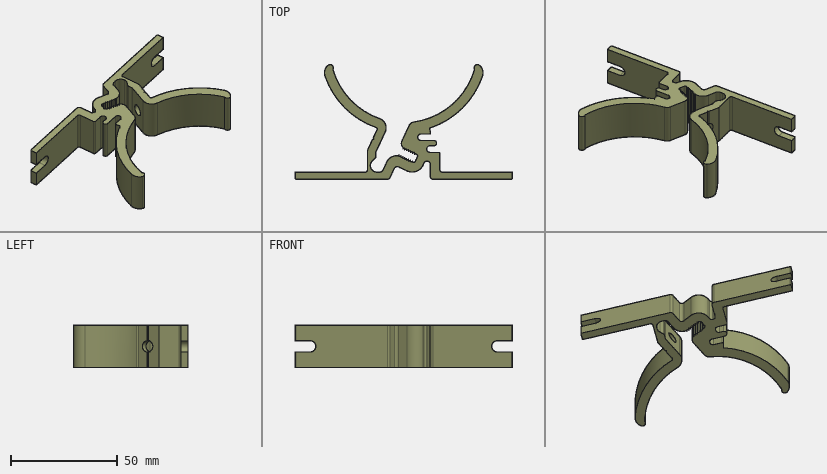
import cadquery as cq
import math


width = 20.0
base_length = 102.0
base_thickness = 3.4
total_height = 53.97

ring_centre = (0.0, 61.25)
ring_inner_radius = 34.6
arm_thickness = 4.6
ring_outer_radius = ring_inner_radius + arm_thickness
tip_angle = -19.0
nub_radius = 1.5

screw_tilt = 25.0
axis_height = 12.27
screw_hole_diameter = 5.4

lever_outer_face = -16.07
lever_inner_face = -12.07
hump_face = -5.52
jaw_face = -3.25
foot_face = -0.96
socket_end = 6.5
bulge_face = 10.65

socket_half_width = 2.0
neck_underside = -6.94

tooth_pitch = 1.0
tooth_height = 0.38
lower_teeth_start = -1.75
upper_teeth_start = lower_teeth_start + tooth_pitch / 2
lower_valley_count = 7
upper_valley_count = 6

left_post_outer_x = -17.1
left_post_inner_x = -13.1
pocket_radius = 3.0
pocket_left_x = -15.65
pocket_shoulder_y = 7.7

right_post_inner_x = 12.4
right_post_outer_x = 17.0
right_post_top = 12.7
slot_height = 3.0
tongue_thickness = 2.55
tongue_tip_x = 15.5
lower_slot_end_x = 10.85
upper_slot_end_x = 6.6
lip_x = 12.75
lip_top_x = 12.2
notch_top = 8.4

foot_corner_radius = 1.0
foot_end_radius = 0.4
small_radius = 0.5
heel_radius = 1.4
neck_radius = 1.5
bulge_radius = 5.7
notch_radius = 1.2
jaw_nose_radius = 2.8
socket_radius = 0.8
hump_radius = 5.1
hump_root_radius = 1.8
post_shoulder_radius = 1.0
post_top_radius = 0.7
lever_root_outer_radius = 0.6
lever_root_inner_radius = 4.6
jaw_root_radius = 3.0

foot_slot_width = 5.2
foot_slot_depth = 9.6
groove_depth = 0.5
groove_width = 0.8

tilt = math.radians(screw_tilt)
half_length = base_length / 2
mid_width = width / 2


def axis_point(along, across):
    """Point given by its place along and across the screw axis."""
    x = along * math.cos(tilt) + across * math.sin(tilt)
    y = axis_height - along * math.sin(tilt) + across * math.cos(tilt)
    return (x, y)


def face_at_y(along, y):
    """Point at height y on a face square to the screw axis."""
    across = (y - axis_height + along * math.sin(tilt)) / math.cos(tilt)
    return axis_point(along, across)


def face_at_x(along, x):
    """Point at position x on a face square to the screw axis."""
    across = (x - along * math.cos(tilt)) / math.sin(tilt)
    return axis_point(along, across)


def face_at_ring(along, radius):
    """Lower crossing of a face square to the screw axis with a ring circle."""
    dx = ring_centre[0]
    dy = ring_centre[1] - axis_height
    centre_along = dx * math.cos(tilt) - dy * math.sin(tilt)
    centre_across = dx * math.sin(tilt) + dy * math.cos(tilt)
    drop = math.sqrt(radius**2 - (along - centre_along) ** 2)
    return axis_point(along, centre_across - drop)


def polar(centre, radius, angle):
    """Point at a radius and angle (radians) from a centre."""
    return (centre[0] + radius * math.cos(angle), centre[1] + radius * math.sin(angle))


def direction(start, end):
    """Angle (radians) of the line from start to end."""
    return math.atan2(end[1] - start[1], end[0] - start[0])


def rounded_outline(corners):
    """Closed outline through (point, radius) corners, each rounded by a tangent arc."""
    runs = []
    for i, (point, radius) in enumerate(corners):
        if radius == 0:
            runs.append([point])
            continue
        to_last = direction(point, corners[i - 1][0])
        to_next = direction(point, corners[(i + 1) % len(corners)][0])
        half_turn = (to_next - to_last) / 2
        setback = radius / abs(math.tan(half_turn))
        bisector = math.atan2(math.sin(to_last) + math.sin(to_next), math.cos(to_last) + math.cos(to_next))
        to_arc = radius / abs(math.sin(half_turn)) - radius
        runs.append([
            polar(point, setback, to_last),
            polar(point, to_arc, bisector),
            polar(point, setback, to_next),
        ])
    outline = cq.Workplane("XY").moveTo(*runs[0][-1])
    for run in runs[1:] + runs[:1]:
        outline = outline.lineTo(*run[0])
        if len(run) > 1:
            outline = outline.threePointArc(run[1], run[2])
    return outline.close()


lever_root_inner = face_at_ring(lever_inner_face, ring_inner_radius)
lever_root_outer = face_at_ring(lever_outer_face, ring_outer_radius)
jaw_root = face_at_ring(jaw_face, ring_inner_radius)
lip_root = (lip_top_x, ring_centre[1] - math.sqrt(ring_outer_radius**2 - lip_top_x**2))


def body():
    """Feet, posts, hinge, screw socket and lever as one extruded outline."""
    tongue_bottom = right_post_top + slot_height
    tongue_top = tongue_bottom + tongue_thickness
    lip_bottom = tongue_top + slot_height
    end_flat = 0.02
    slot_corner = slot_height / 2 - end_flat / 2
    tongue_corner = tongue_thickness / 2 - end_flat / 2
    shoulder_y = pocket_shoulder_y + left_post_inner_x - pocket_left_x

    right_foot = [
        (face_at_y(foot_face, 0), heel_radius),
        (axis_point(foot_face, neck_underside), neck_radius),
        (axis_point(bulge_face, neck_underside), bulge_radius),
        (face_at_y(bulge_face, notch_top), notch_radius),
        ((right_post_inner_x, notch_top), notch_radius),
        ((right_post_inner_x, 0), heel_radius),
        ((half_length, 0), foot_end_radius),
        ((half_length, base_thickness), 0),
        ((right_post_outer_x, base_thickness), foot_corner_radius),
        ((right_post_outer_x, right_post_top), post_top_radius),
    ]
    cable_slots = [
        ((lower_slot_end_x, right_post_top), slot_corner),
        ((lower_slot_end_x, tongue_bottom), slot_corner),
        ((tongue_tip_x, tongue_bottom), tongue_corner),
        ((tongue_tip_x, tongue_top), tongue_corner),
        ((upper_slot_end_x, tongue_top), slot_corner),
        ((upper_slot_end_x, lip_bottom), slot_corner),
        ((lip_x, lip_bottom), small_radius),
        (lip_root, 0),
    ]
    screw_socket = [
        (jaw_root, 0),
        (axis_point(jaw_face, socket_half_width), jaw_nose_radius),
        (axis_point(socket_end, socket_half_width), socket_radius),
        (axis_point(socket_end, -socket_half_width), socket_radius),
        (axis_point(hump_face, -socket_half_width), hump_radius),
    ]
    hinge_and_lever = [
        (face_at_y(hump_face, base_thickness), hump_root_radius),
        ((pocket_left_x, base_thickness), pocket_radius),
        ((pocket_left_x, pocket_shoulder_y), pocket_radius),
        ((left_post_inner_x, shoulder_y), post_shoulder_radius),
        (face_at_x(lever_inner_face, left_post_inner_x), small_radius),
        (lever_root_inner, 0),
        (lever_root_outer, 0),
        (face_at_x(lever_outer_face, left_post_outer_x), 0),
    ]
    left_foot = [
        ((left_post_outer_x, base_thickness), foot_corner_radius),
        ((-half_length, base_thickness), 0),
        ((-half_length, 0), foot_end_radius),
    ]
    corners = right_foot + cable_slots + screw_socket + hinge_and_lever + left_foot
    return rounded_outline(corners).extrude(width)


def clamp_arm(inner_root, outer_root, side):
    """Ring arm from its root points up to its rounded tip; side is +1 (right) or -1 (left)."""
    start = math.radians(tip_angle)
    round_centre = polar(ring_centre, ring_inner_radius, start)
    round_start = polar(ring_centre, ring_outer_radius, start)
    nub_y = total_height - nub_radius
    nub_angle = math.asin((nub_y - round_centre[1]) / (arm_thickness - nub_radius))
    nub_centre = polar(round_centre, arm_thickness - nub_radius, nub_angle)
    round_middle = polar(round_centre, arm_thickness, (start + nub_angle) / 2)
    nub_start = polar(round_centre, arm_thickness, nub_angle)
    gap = math.dist(ring_centre, nub_centre)
    cosine = (ring_inner_radius**2 + gap**2 - nub_radius**2) / (2 * ring_inner_radius * gap)
    end_angle = direction(ring_centre, nub_centre) - math.acos(cosine)
    nub_end = polar(ring_centre, ring_inner_radius, end_angle)
    end_direction = direction(nub_centre, nub_end) % (2 * math.pi)
    nub_middle = polar(nub_centre, nub_radius, (nub_angle + end_direction) / 2)

    def placed(point):
        return (side * point[0], point[1])

    def ring_middle(radius, first, last):
        middle = (direction(ring_centre, first) + direction(ring_centre, last)) / 2
        return polar(ring_centre, radius, middle)

    outer = placed(outer_root)
    inner = placed(inner_root)
    return (
        cq.Workplane("XY")
        .moveTo(*outer_root)
        .threePointArc(placed(ring_middle(ring_outer_radius, outer, round_start)), placed(round_start))
        .threePointArc(placed(round_middle), placed(nub_start))
        .threePointArc(placed(nub_middle), placed(nub_end))
        .threePointArc(placed(ring_middle(ring_inner_radius, nub_end, inner)), inner_root)
        .close()
        .extrude(width)
    )


def round_root(solid, corner, radius):
    """Fillet the edge along Z that stands on the given profile corner."""
    edge_middle = (corner[0], corner[1], mid_width)
    return solid.edges(cq.selectors.NearestToPointSelector(edge_middle)).fillet(radius)


def axis_prism(places):
    """Full-width prism with corners given as (along, across) places on the screw axis."""
    points = [axis_point(along, across) for along, across in places]
    return cq.Workplane("XY").polyline(points).close().extrude(width)


def serrate(solid, start, valley_count, side):
    """Build a toothed strip on the upper (+1) or lower (-1) socket wall."""
    end = start + valley_count * tooth_pitch
    crest = side * (socket_half_width - tooth_height)
    valley = side * (socket_half_width + tooth_height)
    strip_corners = [(start, crest), (end, crest), (end, valley), (start, valley)]
    solid = solid.union(axis_prism(strip_corners))
    for i in range(valley_count):
        left = start + i * tooth_pitch
        v_groove = [(left, crest), (left + tooth_pitch, crest), (left + tooth_pitch / 2, valley)]
        solid = solid.cut(axis_prism(v_groove))
    return solid


def lever_groove():
    """V-groove that centres the screw on the lever's outer face."""
    lower_lip = (lever_outer_face, -groove_width / 2)
    upper_lip = (lever_outer_face, groove_width / 2)
    bottom = (lever_outer_face + groove_depth, 0)
    return axis_prism([lower_lip, upper_lip, bottom])


def screw_hole():
    """Round hole through the lever along the screw axis."""
    overrun = 1.0
    start = axis_point(lever_outer_face - overrun, 0)
    length = lever_inner_face - lever_outer_face + 2 * overrun
    axis = cq.Vector(math.cos(tilt), -math.sin(tilt), 0)
    hole = cq.Solid.makeCylinder(screw_hole_diameter / 2, length, cq.Vector(*start, mid_width), axis)
    return cq.Workplane(obj=hole)


def foot_slot(side):
    """Round-ended slot open at the end of a foot."""
    return (
        cq.Workplane("XZ")
        .center(side * half_length, mid_width)
        .slot2D(2 * foot_slot_depth, foot_slot_width)
        .extrude(-base_thickness)
    )


result = body()
result = result.union(clamp_arm(jaw_root, lip_root, 1))
result = result.union(clamp_arm(lever_root_inner, lever_root_outer, -1))
result = round_root(result, lever_root_inner, lever_root_inner_radius)
result = round_root(result, lever_root_outer, lever_root_outer_radius)
result = round_root(result, jaw_root, jaw_root_radius)

result = serrate(result, upper_teeth_start, upper_valley_count, 1)
result = serrate(result, lower_teeth_start, lower_valley_count, -1)
result = result.cut(lever_groove())
result = result.cut(screw_hole())
for foot_side in (1, -1):
    result = result.cut(foot_slot(foot_side))